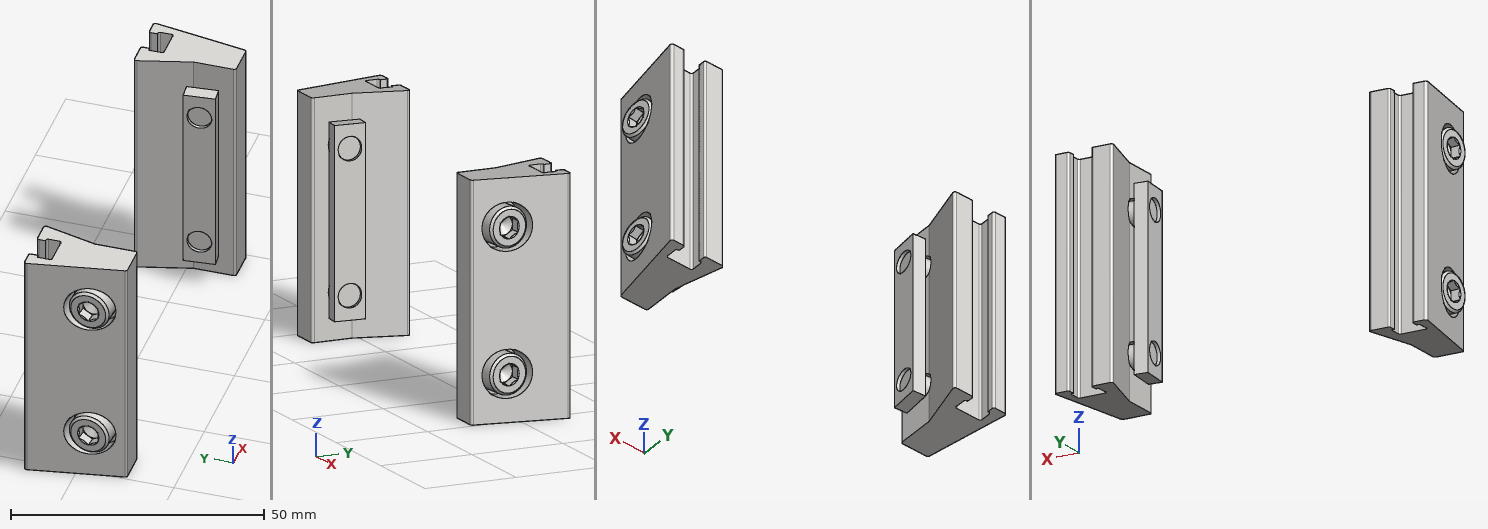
import cadquery as cq
import math

overall_length = 85.7
height = 50.0

profile_depth = 20.2
outer_draft = 10.0
flare_angle = 15.0
inner_wall_offset = 10.4
inner_wall_depth = 8.7
edge_radius = 0.5

slot_start = 2.65
slot_width = 6.5
slot_depth = 4.9
lip_depth = 1.8
mouth_width = 5.1
slot_radius = 0.4

screw_tilt = 5.0
screw_spacing = 30.0
screw_diameter = 5.0
head_diameter = 8.5
head_height = 5.0
head_chamfer = 0.5
head_face_offset = 1.4
head_face_y = 7.4
hex_across_flats = 4.0
hex_depth = 2.2
lead_in_diameter = 4.5
hex_tip_depth = 1.2
clearance_diameter = 6.0
counterbore_diameter = 10.0

bar_width = 6.5
bar_thickness = 3.0
bar_length = 40.0
bar_far_face = 13.45
screw_recess = 0.8

outer_x = -overall_length / 2
draft_tan = math.tan(math.radians(outer_draft))
flare_tan = math.tan(math.radians(flare_angle))
tilt = math.radians(screw_tilt)
corner_trim = edge_radius * (draft_tan + 1 / math.cos(math.radians(outer_draft)) - 1)
corner_x = outer_x - corner_trim
wall_x = outer_x + inner_wall_offset
screw_length = bar_far_face - screw_recess
bar_near_face = bar_far_face - bar_thickness
screw_heights = [(height + side * screw_spacing) / 2 for side in (-1, 1)]


def screw_plane(z, distance=0.0):
    """Plane square to a screw, at a distance inward from its head face; local X runs along +Z."""
    origin = (
        outer_x + head_face_offset + distance * math.cos(tilt),
        head_face_y - distance * math.sin(tilt),
        z,
    )
    return cq.Plane(origin=origin, xDir=(0, 0, 1), normal=(math.cos(tilt), -math.sin(tilt), 0))


def make_slot():
    """T-slot: wide channel plus the narrower mouth between the two lips."""
    near_x = outer_x + slot_start
    far_x = near_x + slot_width
    floor_y = profile_depth - slot_depth
    lip_y = profile_depth - lip_depth
    lip_overhang = (slot_width - mouth_width) / 2
    channel = (
        cq.Workplane("XY")
        .moveTo(near_x, floor_y)
        .lineTo(far_x, floor_y)
        .lineTo(far_x, lip_y)
        .lineTo(near_x, lip_y)
        .close()
        .extrude(height)
        .edges("|Z")
        .fillet(slot_radius)
    )
    mouth = (
        cq.Workplane("XY")
        .moveTo(near_x + lip_overhang, floor_y)
        .lineTo(far_x - lip_overhang, floor_y)
        .lineTo(far_x - lip_overhang, profile_depth)
        .lineTo(near_x + lip_overhang, profile_depth)
        .close()
        .extrude(height)
    )
    return channel.union(mouth)


def make_housing():
    """Tapered extrusion with a T-slot and two tilted counterbored screw holes."""
    flare_x = wall_x + (profile_depth - inner_wall_depth) * flare_tan
    body = (
        cq.Workplane("XY")
        .moveTo(corner_x + profile_depth * draft_tan, 0)
        .lineTo(wall_x, 0)
        .lineTo(wall_x, inner_wall_depth)
        .lineTo(flare_x, profile_depth)
        .lineTo(corner_x, profile_depth)
        .close()
        .extrude(height)
    )
    body = body.edges("|Z and (<Y or >Y)").fillet(edge_radius)
    body = body.cut(make_slot())
    body = body.edges("|Z and >Y").fillet(slot_radius)
    for z in screw_heights:
        clearance = cq.Workplane(screw_plane(z)).circle(clearance_diameter / 2).extrude(bar_far_face)
        counterbore = (
            cq.Workplane(screw_plane(z, head_height))
            .circle(counterbore_diameter / 2)
            .extrude(-2 * head_height)
        )
        body = body.cut(clearance).cut(counterbore)
    return body.val()


def make_screw(z):
    """Cap screw with a chamfered head and a hex socket ending in a cone."""
    head = (
        cq.Workplane(screw_plane(z))
        .circle(head_diameter / 2)
        .extrude(head_height)
        .faces("<X")
        .chamfer(head_chamfer)
    )
    shank = cq.Workplane(screw_plane(z)).circle(screw_diameter / 2).extrude(screw_length)
    hex_across_corners = hex_across_flats / math.cos(math.radians(30))
    socket = cq.Workplane(screw_plane(z)).polygon(6, hex_across_corners).extrude(hex_depth)
    tip_plane = screw_plane(z, hex_depth)
    tip = cq.Solid.makeCone(hex_across_flats / 2, 0, hex_tip_depth, tip_plane.origin, tip_plane.zDir)
    mouth_plane = screw_plane(z)
    mouth_radius = lead_in_diameter / 2
    mouth = cq.Solid.makeCone(mouth_radius, 0, mouth_radius, mouth_plane.origin, mouth_plane.zDir)
    screw = head.union(shank).cut(socket)
    return screw.cut(cq.Workplane(tip)).cut(cq.Workplane(mouth)).val()


def make_bar():
    """Clamping bar with a through hole for each screw."""
    bar = (
        cq.Workplane(screw_plane(height / 2, bar_near_face))
        .rect(bar_length, bar_width)
        .extrude(bar_thickness)
    )
    for z in screw_heights:
        hole = cq.Workplane(screw_plane(z)).circle(screw_diameter / 2).extrude(bar_far_face)
        bar = bar.cut(hole)
    return bar.val()


clamp = [make_housing(), make_bar()]
for screw_height in screw_heights:
    clamp.append(make_screw(screw_height))
mirrored_clamp = [body.mirror("YZ") for body in clamp]

result = cq.Compound.makeCompound([*clamp, *mirrored_clamp])